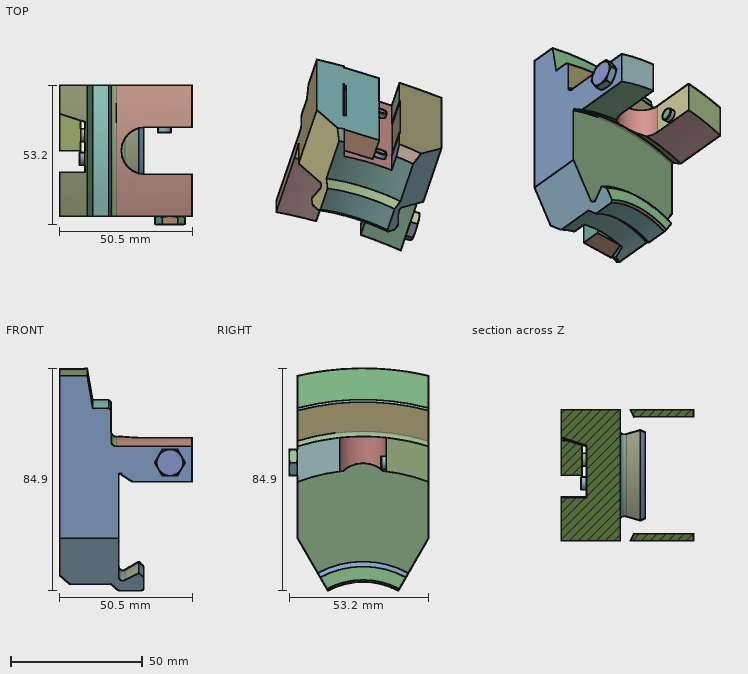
import cadquery as cq
import math

OUTER_RADIUS = 110.0
BODY_WIDTH = 50.0
LENGTH = 50.5

RIM_X = 10.5
SHOULDER_X = 12.6
SHOULDER_RADIUS = 98.05
UPPER_WALL_X = 19.6
SHOULDER_CHAMFER = 0.95
ARM_TOP_RADIUS = 84.0
ARM_ROOT_FILLET = 2.0
ARM_BOTTOM_RADIUS = 71.2
UNDERCUT_END_X = 27.7
UNDERCUT_ANGLE = 30.0
UNDERCUT_FILLET = 0.5
LOWER_WALL_X = 22.6

HOOK_END_X = 32.1
HOOK_TIP_X = 30.2
HOOK_TIP_CHAMFER = HOOK_END_X - HOOK_TIP_X
HOOK_ROOT_RADIUS = 32.95
HOOK_ROOT_FILLET = 1.45
HOOK_SLOPE_ANGLE = 30.0
HOOK_BOTTOM_RADIUS = 28.5
HOOK_BOTTOM_CHAMFER = 0.8
HOOK_START_X = 19.6
BASE_RADIUS = 31.35
BASE_CHAMFER = 3.85

TAPER_START_Z = 45.2
TAPER_ANGLE = 30.0

ARM_SLOT_WIDTH = 17.8
ARM_SLOT_END_X = 23.55

BACK_SLOT_DEPTH = 9.6
BACK_SLOT_WALL_Y = -8.1
BACK_SLOT_MOUTH_Y = 14.1
BACK_SLOT_FLOOR_Y = 11.0
RELIEF_OFFSET = 0.3
RELIEF_TOP_Z = 87.5
RELIEF_BOTTOM_Z = 49.1

BAR_DEPTH = 8.0
BAR_SIDE_Y = 0.0
BAR_TOP_Z = 107.6
BAR_BOTTOM_Z = 31.5
BAR_GROOVE_Y = 13.25
BAR_GROOVE_TOP_Z = 85.7
BAR_GROOVE_BOTTOM_Z = 49.5

PIN_DIAMETER = 5.0
PIN_HEIGHT = 2.1
PIN_CHAMFER = 0.25
SLOT_PIN_Y = -3.1
BAR_PIN_Y = 5.9
PIN_SPACING = 50.0
UPPER_PIN_Z = 92.6
ARM_PIN_X = 40.0
BOLT_X = 42.05
BOLT_Z = 74.0
BOLT_ACROSS_FLATS = 10.0
BOLT_HEAD_HEIGHT = 3.2
BOLT_CORNER_CHAMFER = 0.3


def revolved_blank():
    """Full-width profile turned about the X axis."""
    undercut_rise = (UNDERCUT_END_X - LOWER_WALL_X) * math.tan(math.radians(UNDERCUT_ANGLE))
    undercut_top = ARM_BOTTOM_RADIUS + undercut_rise - UNDERCUT_FILLET
    hook_slope = math.radians(HOOK_SLOPE_ANGLE)
    root_end_x = LOWER_WALL_X + HOOK_ROOT_FILLET * (1 + math.sin(hook_slope))
    root_end_radius = HOOK_ROOT_RADIUS + HOOK_ROOT_FILLET * (1 - math.cos(hook_slope))
    hook_tip_radius = root_end_radius + (HOOK_TIP_X - root_end_x) * math.tan(hook_slope)
    profile = (
        cq.Workplane("XZ")
        .moveTo(0, OUTER_RADIUS)
        .lineTo(RIM_X, OUTER_RADIUS)
        .lineTo(SHOULDER_X, SHOULDER_RADIUS)
        .lineTo(UPPER_WALL_X - SHOULDER_CHAMFER, SHOULDER_RADIUS)
        .lineTo(UPPER_WALL_X, SHOULDER_RADIUS - SHOULDER_CHAMFER)
        .lineTo(UPPER_WALL_X, ARM_TOP_RADIUS + ARM_ROOT_FILLET)
        .radiusArc((UPPER_WALL_X + ARM_ROOT_FILLET, ARM_TOP_RADIUS), -ARM_ROOT_FILLET)
        .lineTo(LENGTH, ARM_TOP_RADIUS)
        .lineTo(LENGTH, ARM_BOTTOM_RADIUS)
        .lineTo(UNDERCUT_END_X, ARM_BOTTOM_RADIUS)
        .lineTo(LOWER_WALL_X + 2 * UNDERCUT_FILLET, undercut_top)
        .radiusArc((LOWER_WALL_X, undercut_top), -UNDERCUT_FILLET)
        .lineTo(LOWER_WALL_X, HOOK_ROOT_RADIUS + HOOK_ROOT_FILLET)
        .radiusArc((root_end_x, root_end_radius), -HOOK_ROOT_FILLET)
        .lineTo(HOOK_TIP_X, hook_tip_radius)
        .lineTo(HOOK_END_X, hook_tip_radius - HOOK_TIP_CHAMFER)
        .lineTo(HOOK_END_X, HOOK_BOTTOM_RADIUS + HOOK_BOTTOM_CHAMFER)
        .lineTo(HOOK_END_X - HOOK_BOTTOM_CHAMFER, HOOK_BOTTOM_RADIUS)
        .lineTo(HOOK_START_X + BASE_RADIUS - HOOK_BOTTOM_RADIUS, HOOK_BOTTOM_RADIUS)
        .lineTo(HOOK_START_X, BASE_RADIUS)
        .lineTo(BASE_CHAMFER, BASE_RADIUS)
        .lineTo(0, BASE_RADIUS + BASE_CHAMFER)
        .close()
    )
    return profile.revolve(360, (0, 0, 0), (1, 0, 0))


def width_outline():
    """Parallel sides that taper inwards below TAPER_START_Z."""
    half = BODY_WIDTH / 2
    foot = half - TAPER_START_Z * math.tan(math.radians(TAPER_ANGLE))
    points = [
        (half, OUTER_RADIUS),
        (half, TAPER_START_Z),
        (foot, 0),
        (-foot, 0),
        (-half, TAPER_START_Z),
        (-half, OUTER_RADIUS),
    ]
    return cq.Workplane("YZ").polyline(points).close().extrude(LENGTH)


def arm_slot():
    """U-shaped cut that splits the arm into two prongs."""
    radius = ARM_SLOT_WIDTH / 2
    centre_x = ARM_SLOT_END_X + radius
    cut_bottom = TAPER_START_Z
    return (
        cq.Workplane("XY", origin=(0, 0, cut_bottom))
        .moveTo(LENGTH, -radius)
        .lineTo(centre_x, -radius)
        .radiusArc((centre_x, radius), radius)
        .lineTo(LENGTH, radius)
        .close()
        .extrude(OUTER_RADIUS - cut_bottom)
    )


def back_slot(widening, bottom_z, top_z):
    """Back slot between two heights, each wall moved outwards by widening."""
    points = [
        (0, BACK_SLOT_WALL_Y - widening),
        (BACK_SLOT_DEPTH, BACK_SLOT_WALL_Y - widening),
        (BACK_SLOT_DEPTH, BACK_SLOT_FLOOR_Y + widening),
        (0, BACK_SLOT_MOUTH_Y + widening),
    ]
    outline = cq.Workplane("XY", origin=(0, 0, bottom_z)).polyline(points).close()
    return outline.extrude(top_z - bottom_z)


def clamping_bar():
    """Bar lying against the sloping slot wall, with a shallow groove along its outer edge."""
    slope = (BACK_SLOT_MOUTH_Y - BACK_SLOT_FLOOR_Y) / BACK_SLOT_DEPTH
    inner_y = BACK_SLOT_MOUTH_Y - slope * BAR_DEPTH
    points = [(0, BAR_SIDE_Y), (BAR_DEPTH, BAR_SIDE_Y), (BAR_DEPTH, inner_y), (0, BACK_SLOT_MOUTH_Y)]
    bar = cq.Workplane("XY", origin=(0, 0, BAR_BOTTOM_Z)).polyline(points).close()
    bar = bar.extrude(BAR_TOP_Z - BAR_BOTTOM_Z)
    groove = cq.Workplane("XY").box(
        BAR_DEPTH,
        BACK_SLOT_MOUTH_Y - BAR_GROOVE_Y,
        BAR_GROOVE_TOP_Z - BAR_GROOVE_BOTTOM_Z,
        centered=False,
    )
    return bar.cut(groove.translate((0, BAR_GROOVE_Y, BAR_GROOVE_BOTTOM_Z)))


def pin(base, direction):
    """Pin with a chamfered end, standing on a face at base."""
    seat = cq.Workplane(cq.Plane(origin=base, normal=direction))
    radius = PIN_DIAMETER / 2
    free_end = cq.selectors.DirectionMinMaxSelector(cq.Vector(*direction))
    return seat.circle(radius).extrude(PIN_HEIGHT).faces(free_end).chamfer(PIN_CHAMFER)


def bolt_head():
    """Hexagon head on the -Y side, its corners chamfered at both ends."""
    across_corners = BOLT_ACROSS_FLATS / math.cos(math.radians(30))
    seat = cq.Workplane("XZ", origin=(BOLT_X, -BODY_WIDTH / 2, BOLT_Z))
    hexagon = seat.polygon(6, across_corners).extrude(BOLT_HEAD_HEIGHT)
    corner_radius = across_corners / 2
    corner_cut = corner_radius - BOLT_ACROSS_FLATS / 2
    envelope = (
        seat.circle(corner_radius)
        .extrude(BOLT_HEAD_HEIGHT)
        .faces("|Y")
        .chamfer(BOLT_CORNER_CHAMFER, corner_cut)
    )
    return hexagon.intersect(envelope)


def build():
    body = revolved_blank().intersect(width_outline())
    body = body.cut(arm_slot())
    body = body.cut(back_slot(0, 0, OUTER_RADIUS))
    body = body.cut(back_slot(RELIEF_OFFSET, RELIEF_BOTTOM_Z, RELIEF_TOP_Z))
    body = body.union(clamping_bar())
    for pin_z in (UPPER_PIN_Z, UPPER_PIN_Z - PIN_SPACING):
        for pin_y in (SLOT_PIN_Y, BAR_PIN_Y):
            body = body.union(pin((BACK_SLOT_DEPTH, pin_y, pin_z), (-1, 0, 0)))
    body = body.union(pin((ARM_PIN_X, ARM_SLOT_WIDTH / 2, BOLT_Z), (0, -1, 0)))
    return body.union(bolt_head())


result = build()